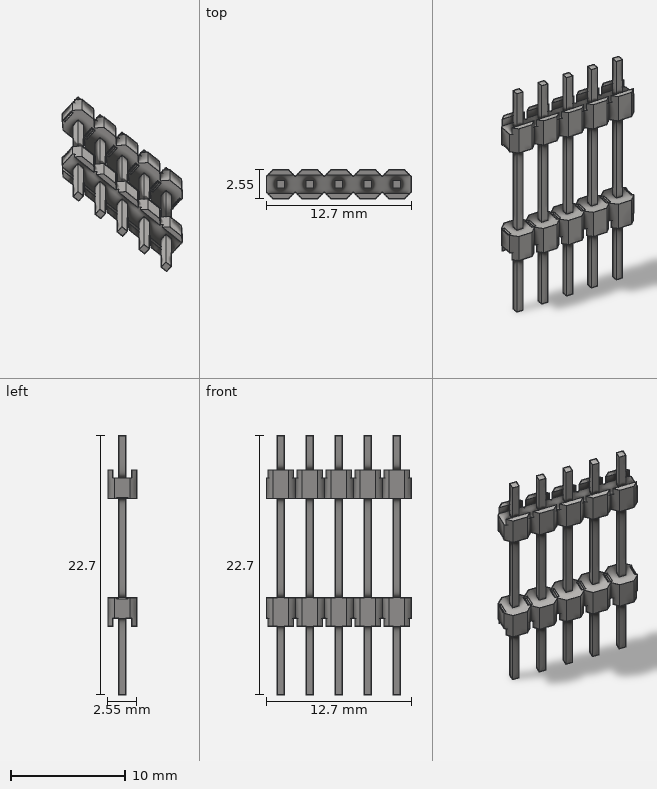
import cadquery as cq

pin_count = 5
row_length = 12.7
pitch = row_length / pin_count

pin_width = 0.64
pin_length = 22.7
pin_tail = 6.0
pin_tip = 3.0

housing_width = 2.55
housing_height = 2.52
corner_cut = 0.6
channel_width = 1.63
channel_depth = 0.7

pocket_length = 1.11
pocket_width = 0.4
pocket_depth = 0.11
pocket_wall_angle = 45

pin_positions = [(index - (pin_count - 1) / 2) * pitch for index in range(pin_count)]
cell_edges = [(index - pin_count / 2) * pitch for index in range(pin_count + 1)]


def make_housing():
    """Housing with its flat inner face at Z = 0 and its channel opening at the top."""
    housing = (
        cq.Workplane("XY")
        .rect(row_length, housing_width)
        .extrude(housing_height)
    )
    corner_notches = (
        cq.Workplane("XY")
        .pushPoints([(x, side * housing_width / 2) for x in cell_edges for side in (-1, 1)])
        .polygon(4, 2 * corner_cut)
        .extrude(housing_height)
    )
    channel = (
        cq.Workplane("XY")
        .workplane(offset=housing_height - channel_depth)
        .rect(row_length, channel_width)
        .extrude(channel_depth)
    )
    housing = housing.cut(corner_notches).cut(channel)
    for x in cell_edges:
        housing = housing.cut(make_pocket(x))
    return housing


def make_pocket(x):
    """Cutter for a shallow pocket in the inner face, at the border between two pin cells."""
    return (
        cq.Workplane("XY")
        .center(x, 0)
        .rect(pocket_width, pocket_length)
        .extrude(pocket_depth, taper=pocket_wall_angle)
    )


housing = make_housing()
upper_housing = housing.translate((0, 0, pin_length - pin_tip - housing_height))
lower_housing = housing.mirror("XY").translate((0, 0, pin_tail + housing_height))

pins = (
    cq.Workplane("XY")
    .pushPoints([(x, 0) for x in pin_positions])
    .rect(pin_width, pin_width)
    .extrude(pin_length)
)

result = upper_housing.union(lower_housing).union(pins)